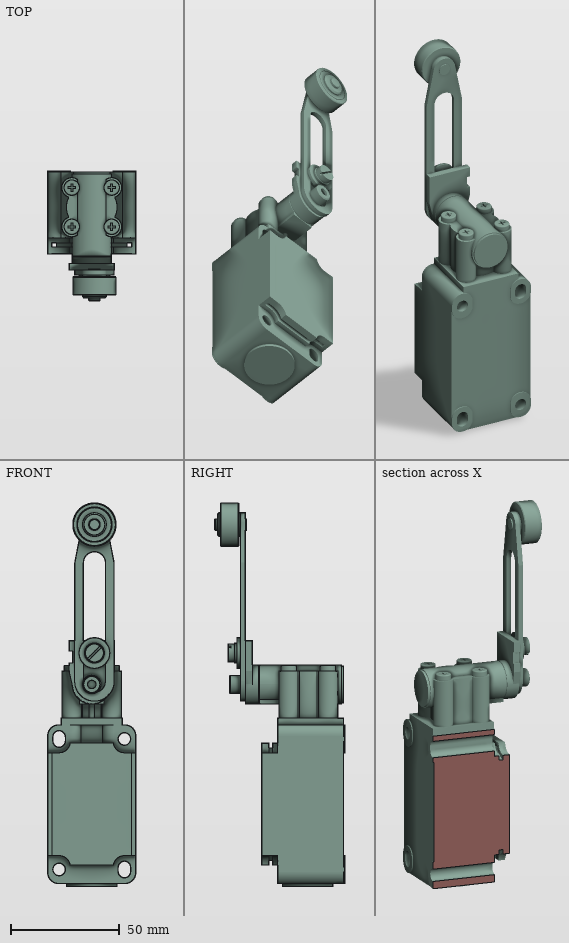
import cadquery as cq
import math


body_width = 40.5
body_bottom = 1.4
body_top = 74.4
body_mid_z = (body_bottom + body_top) / 2
body_depth = 30.9
body_corner = 5.3
mount_pad_depth = 0.5
mount_pad_width = 10.5
mount_pad_height = 12.9
mount_pad_corner = 5.1
mount_hole_x = 15.0
mount_hole_z = 30.0
mount_hole_dia = 5.6
mount_slot_length = 7.5
entry_radius = 11.6
entry_depth = 17.1

cover_depth = 38.3
lid_recess = 0.09
lid_front = cover_depth - lid_recess
lid_width = 36.7
lid_half_height = 28.0
lid_tab_half = 9.9
notch_radius = 5.1
notch_height = 4.4
notch_center_x = mount_hole_x
groove_start = 33.1
groove_end = 34.9
groove_inset = 2.1

pocket_height = 8.3
pocket_depth = 3.9
pocket_boss_bulge = 1.0
pocket_flat_half = 5.0
neck_width = 28.2
neck_top = 77.4

column_top = 99.0
column_radius = 4.5
column_x = 9.2
column_back_depth = 7.8
column_front_depth = 25.7
column_places = [(x, d) for x in (-column_x, column_x) for d in (column_back_depth, column_front_depth)]
head_mid_depth = (column_back_depth + column_front_depth) / 2
core_half_width = 10.8
core_half_depth = 9.7
bulge = 0.9
side_bulge_half = 4.0
front_bulge_half = 4.2
rib_radius = 1.2
screw_radius = 3.5
screw_top = 101.7
screw_edge = 0.5
cross_length = 3.5
cross_width = 0.9
cross_depth = 1.0

barrel_z = 92.9
barrel_radius = 9.0
barrel_back_depth = 1.5
cap_radius = 8.5
cap_depth = 0.5
ring_depth = 39.1
ring_width = 0.5
ring_cut = 0.4
saddle_half_width = 5.6
saddle_height = 3.5

bracket_back = 42.5
bracket_front = 45.7
bracket_half_width = 10.4
bracket_top = 113.0
bracket_shoulder_z = 98.9
side_notch_depth = 1.5
side_notch_low = 102.8
side_notch_high = 108.2

arm_x = 1.2
arm_front = 48.0
arm_half_width = 18.2 / 2
arm_low_z = 94.3
arm_high_z = 148.8
arm_slot_half = 10.0 / 2
arm_tip_radius = 11.1 / 2

shaft_tip = 53.0
shaft_radius = 4.2
shaft_chamfer = 0.5
shaft_bore = 2.0
shaft_bore_depth = 2.6
clamp_z = 107.4
washer_radius = 7.0
washer_front = 49.5
collar_radius = 4.5
collar_front = 50.6
clamp_head_radius = 8.3 / 2
clamp_head_front = 53.6
driver_slot_width = 0.97
driver_slot_depth = 1.4

overall_height = 176.3
roller_radius = 20.0 / 2
roller_z = overall_height - roller_radius
roller_back = 48.7
roller_front = 57.1
roller_edge = 0.4
face_groove_radius = 8.1
face_groove_width = 0.4
hub_radius = 5.5
hub_front = 58.5
hub_chamfer = 0.7
axle_radius = 2.6
axle_back = 45.1
axle_tip = 59.8
axle_chamfer = 0.4


def front_plane(depth, x=0, z=0):
    """Sketch plane facing -Y at a given depth, with sketch axes along X and Z."""
    return cq.Workplane(cq.Plane(origin=(x, -depth, z), xDir=(1, 0, 0), normal=(0, -1, 0)))


def disc(x, z, radius, start, end):
    """Round bar along Y between two depths."""
    return front_plane(start, x, z).circle(radius).extrude(end - start)


def block(x_low, x_high, start, end, z_low, z_high):
    """Box between two depths."""
    size = (x_high - x_low, end - start, z_high - z_low)
    return cq.Workplane("XY").box(*size, centered=False).translate((x_low, -end, z_low))


def cover_outline(inset, start, end):
    """Cover shape whose four corners are cut back by rounded notches."""
    half_width = lid_width / 2 - inset
    half_height = lid_half_height - inset
    shoulder = half_height - notch_height
    center_z = lid_half_height - notch_height + notch_radius
    shape = front_plane(start, 0, body_mid_z).rect(2 * half_width, 2 * half_height).extrude(end - start)
    for side_x in (-1, 1):
        for side_z in (-1, 1):
            corner = front_plane(start, side_x * notch_center_x, body_mid_z + side_z * center_z)
            shape = shape.cut(corner.circle(notch_radius + inset).extrude(end - start))
            x_low, x_high = sorted((side_x * notch_center_x, side_x * body_width))
            z_low, z_high = sorted((body_mid_z + side_z * shoulder, body_mid_z + side_z * half_height))
            shape = shape.cut(block(x_low, x_high, start, end, z_low, z_high))
    return shape


def make_housing():
    height = body_top - body_bottom
    housing = front_plane(mount_pad_depth, 0, body_mid_z).rect(body_width, height)
    housing = housing.extrude(body_depth - mount_pad_depth).edges("|Y").fillet(body_corner)
    neck = block(-neck_width / 2, neck_width / 2, mount_pad_depth, body_depth, body_mid_z, neck_top)
    housing = housing.union(neck)

    pad_x = (body_width - mount_pad_width) / 2
    pad_z = (height - mount_pad_height) / 2
    pads = front_plane(0, 0, body_mid_z).rect(2 * pad_x, 2 * pad_z, forConstruction=True).vertices()
    pads = pads.rect(mount_pad_width, mount_pad_height).extrude(mount_pad_depth)
    housing = housing.union(pads.edges("|Y").fillet(mount_pad_corner))

    pocket = (
        cq.Workplane("XY", origin=(0, -body_depth, body_mid_z + lid_half_height))
        .moveTo(-lid_tab_half, 0)
        .sagittaArc((-pocket_flat_half, pocket_depth), -pocket_boss_bulge)
        .lineTo(pocket_flat_half, pocket_depth)
        .sagittaArc((lid_tab_half, 0), -pocket_boss_bulge)
        .close()
        .extrude(pocket_height)
    )
    housing = housing.cut(pocket)

    entry = cq.Workplane("XY").center(0, -entry_depth).circle(entry_radius).extrude(2 * body_bottom)
    return housing.union(entry)


def make_cover():
    """Lid with a groove all round, set between two side walls of the housing."""
    cover = cover_outline(0, body_depth, groove_start)
    cover = cover.union(cover_outline(groove_inset, groove_start, groove_end))
    cover = cover.union(cover_outline(0, groove_end, lid_front))
    wall_half_height = lid_half_height - notch_height
    for x_low in (-body_width / 2, lid_width / 2):
        x_high = x_low + (body_width - lid_width) / 2
        wall = block(x_low, x_high, body_depth, cover_depth,
                     body_mid_z - wall_half_height, body_mid_z + wall_half_height)
        cover = cover.union(wall)
    return cover


def mount_holes():
    """Round holes on one diagonal and upright slots on the other."""
    x, z = mount_hole_x, mount_hole_z
    plane = front_plane(0, 0, body_mid_z)
    holes = plane.pushPoints([(x, z), (-x, -z)]).circle(mount_hole_dia / 2).extrude(body_depth)
    slots = plane.pushPoints([(-x, z), (x, -z)]).slot2D(mount_slot_length, mount_hole_dia, 90)
    return holes.union(slots.extrude(body_depth))


def make_head():
    height = column_top - neck_top
    side, front = core_half_width, core_half_depth
    side_bulge, front_bulge = side_bulge_half, front_bulge_half
    core = (
        cq.Workplane("XY", origin=(0, -head_mid_depth, neck_top))
        .moveTo(-side, -front)
        .lineTo(-front_bulge, -front)
        .threePointArc((0, -front - bulge), (front_bulge, -front))
        .lineTo(side, -front)
        .lineTo(side, -side_bulge)
        .threePointArc((side + bulge, 0), (side, side_bulge))
        .lineTo(side, front)
        .lineTo(front_bulge, front)
        .threePointArc((0, front + bulge), (-front_bulge, front))
        .lineTo(-side, front)
        .lineTo(-side, side_bulge)
        .threePointArc((-side - bulge, 0), (-side, -side_bulge))
        .close()
        .extrude(height)
    )
    rib = cq.Workplane("XY", origin=(0, -head_mid_depth - front - bulge, neck_top))
    head = core.union(rib.circle(rib_radius).extrude(height / 2))

    for x, depth in column_places:
        column = cq.Workplane("XY", origin=(x, -depth, neck_top))
        head = head.union(column.circle(column_radius).extrude(height))
    return head


def make_screw(x, depth):
    """Rounded screw head with a cross recess."""
    height = screw_top - column_top
    screw = cq.Workplane("XY").circle(screw_radius).extrude(height).faces(">Z").edges().fillet(screw_edge)
    for angle in (0, 90):
        bar = cq.Workplane("XY", origin=(0, 0, height - cross_depth))
        bar = bar.transformed(rotate=(0, 0, angle)).rect(cross_length, cross_width)
        screw = screw.cut(bar.extrude(cross_depth))
    return screw.translate((x, -depth, column_top))


def make_barrel():
    barrel = disc(0, barrel_z, barrel_radius, barrel_back_depth, bracket_back)
    barrel = barrel.union(disc(0, barrel_z, cap_radius, cap_depth, barrel_back_depth))
    ring = front_plane(ring_depth, 0, barrel_z).circle(barrel_radius)
    barrel = barrel.cut(ring.circle(barrel_radius - ring_cut).extrude(ring_width))
    saddle_low = barrel_z - barrel_radius
    saddle = block(-saddle_half_width, saddle_half_width, column_front_depth, ring_depth,
                   saddle_low, saddle_low + saddle_height)
    return barrel.union(saddle)


def make_bracket():
    """Plate that tapers down to the round end of the barrel."""
    half, radius = bracket_half_width, barrel_radius
    bracket = (
        front_plane(bracket_back)
        .moveTo(-half, bracket_top).lineTo(half, bracket_top)
        .lineTo(half, bracket_shoulder_z).lineTo(radius, barrel_z)
        .threePointArc((0, barrel_z - radius), (-radius, barrel_z))
        .lineTo(-half, bracket_shoulder_z).close()
        .extrude(bracket_front - bracket_back)
    )
    notch = block(-half, -half + side_notch_depth, bracket_back, bracket_front,
                  side_notch_low, side_notch_high)
    return bracket.cut(notch)


def make_arm():
    """Slotted lever whose upper end tapers to meet the tip circle tangentially."""
    half, tip = arm_half_width, arm_tip_radius
    rise = roller_z - arm_high_z
    tilt = math.asin(tip / math.hypot(half, rise)) - math.atan2(half, rise)
    tangent_x = tip * math.cos(tilt)
    tangent_z = roller_z - tip * math.sin(tilt)
    arm = (
        front_plane(bracket_front)
        .moveTo(-half, arm_low_z).lineTo(-half, arm_high_z).lineTo(-tangent_x, tangent_z)
        .threePointArc((0, roller_z + tip), (tangent_x, tangent_z))
        .lineTo(half, arm_high_z).lineTo(half, arm_low_z)
        .threePointArc((0, arm_low_z - half), (-half, arm_low_z)).close()
        .extrude(arm_front - bracket_front)
    )
    slot_length = arm_high_z - arm_low_z + 2 * arm_slot_half
    slot = front_plane(bracket_front, 0, (arm_low_z + arm_high_z) / 2)
    slot = slot.slot2D(slot_length, 2 * arm_slot_half, 90).extrude(arm_front - bracket_front)
    return arm.cut(slot).translate((arm_x, 0, 0))


def make_shaft_end():
    shaft = disc(0, barrel_z, shaft_radius, bracket_back, shaft_tip)
    shaft = shaft.faces("<Y").edges().chamfer(shaft_chamfer)
    return shaft.cut(disc(0, barrel_z, shaft_bore, shaft_tip - shaft_bore_depth, shaft_tip))


def make_clamp_screw():
    screw = disc(arm_x, clamp_z, washer_radius, arm_front, washer_front)
    screw = screw.union(disc(arm_x, clamp_z, collar_radius, bracket_front, collar_front))
    screw = screw.union(disc(arm_x, clamp_z, clamp_head_radius, collar_front, clamp_head_front))
    slot = front_plane(clamp_head_front - driver_slot_depth, arm_x, clamp_z)
    slot = slot.transformed(rotate=(0, 0, 45)).rect(2 * collar_radius, driver_slot_width)
    return screw.cut(slot.extrude(driver_slot_depth))


def make_roller():
    roller = disc(arm_x, roller_z, roller_radius, roller_back, roller_front)
    roller = roller.faces("<Y or >Y").edges().chamfer(roller_edge)
    groove = front_plane(roller_front - face_groove_width, arm_x, roller_z).circle(face_groove_radius)
    groove = groove.circle(face_groove_radius - face_groove_width).extrude(face_groove_width)
    hub = disc(arm_x, roller_z, hub_radius, arm_front, hub_front).faces("<Y").edges().chamfer(hub_chamfer)
    axle = disc(arm_x, roller_z, axle_radius, axle_back, axle_tip).faces("<Y").edges().chamfer(axle_chamfer)
    return roller.cut(groove).union(hub).union(axle)


result = make_housing().union(make_cover()).cut(mount_holes())
result = result.union(make_head()).union(make_barrel())
for screw_x, screw_depth in column_places:
    result = result.union(make_screw(screw_x, screw_depth))
for lever_part in (make_bracket(), make_arm(), make_shaft_end(), make_clamp_screw(), make_roller()):
    result = result.union(lever_part)